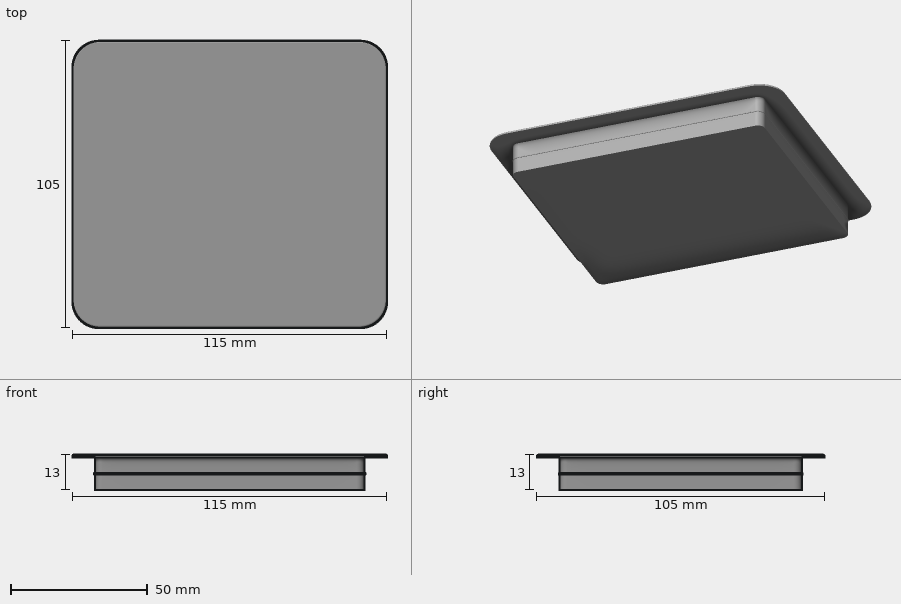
import cadquery as cq

plate_length = 115.0
plate_width = 105.0
plate_thickness = 1.0
plate_corner_radius = 10.0
plate_rim_radius = 0.9

plate_overhang = 8.2
body_length = plate_length - 2 * plate_overhang
body_width = plate_width - 2 * plate_overhang
body_height = 12.0
body_corner_radius = 2.8

bead_radius = 0.2
bead_height = body_height / 2


def rounded_outline(length, width, corner_radius, height):
    """Rounded rectangle centred on the Z axis at the given height."""
    outline = cq.Sketch().rect(length, width).vertices().fillet(corner_radius)
    return cq.Workplane("XY").workplane(offset=height).placeSketch(outline)


def make_plate():
    """Cover plate with its upper rim rounded over."""
    outline = rounded_outline(plate_length, plate_width, plate_corner_radius, body_height)
    plate = outline.extrude(plate_thickness)
    return plate.faces(">Z").edges().fillet(plate_rim_radius)


def make_body():
    """Solid plug that carries the plate."""
    outline = rounded_outline(body_length, body_width, body_corner_radius, 0)
    return outline.extrude(body_height)


def make_bead(body):
    """Round bar following the body outline, half buried in the side walls."""
    path = body.faces("<Z").wires().translate((0, 0, bead_height))
    start = cq.Plane(origin=(0, -body_width / 2, bead_height), xDir=(0, 1, 0), normal=(1, 0, 0))
    return cq.Workplane(start).circle(bead_radius).sweep(path)


body = make_body()
result = body.union(make_bead(body)).union(make_plate())